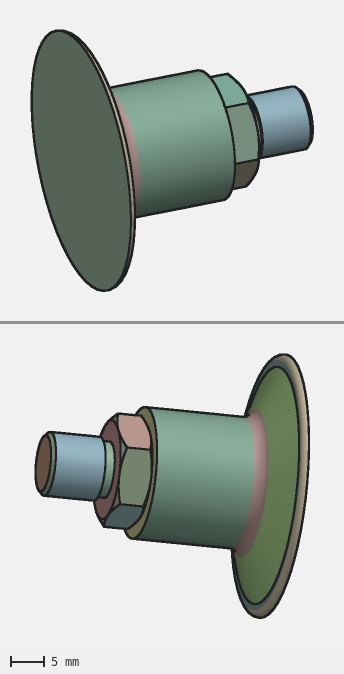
import cadquery as cq
import math


rim_radius = 20.0
rim_thickness = 1.0
cone_foot_radius = 18.0
body_radius = 10.0
cone_slope = 22.5
body_fillet = 2.0
body_top = 21.0

nut_height = 5.0
nut_flats = 15.0
nut_turn = -4.0
nut_chamfer_angle = 30.0

neck_radius = 8.55 / 2
neck_length = 1.6
stud_radius = 9.7 / 2
stud_chamfer = 0.6
total_height = 36.0

nut_top = body_top + nut_height
neck_top = nut_top + neck_length
nut_corner_radius = nut_flats / 2 / math.cos(math.radians(30))
nut_chamfer_height = (nut_corner_radius - nut_flats / 2) * math.tan(math.radians(nut_chamfer_angle))


def revolve_about_y(profile):
    return profile.close().revolve(360, (0, 0, 0), (0, 1, 0))


def make_cup():
    slope = math.radians(cone_slope)
    corner_y = rim_thickness + (cone_foot_radius - body_radius) * math.tan(slope)
    half_turn = (math.pi / 2 - slope) / 2
    tangent_length = body_fillet * math.tan(half_turn)
    fillet_top = corner_y + tangent_length
    fillet_foot = (
        body_radius + tangent_length * math.cos(slope),
        corner_y - tangent_length * math.sin(slope),
    )
    fillet_middle = (
        body_radius + body_fillet * (1 - math.cos(half_turn)),
        fillet_top - body_fillet * math.sin(half_turn),
    )
    profile = (
        cq.Workplane("XY")
        .lineTo(rim_radius, 0)
        .radiusArc((rim_radius - rim_thickness, rim_thickness), -rim_thickness)
        .lineTo(cone_foot_radius, rim_thickness)
        .lineTo(*fillet_foot)
        .threePointArc(fillet_middle, (body_radius, fillet_top))
        .lineTo(body_radius, body_top)
        .lineTo(0, body_top)
    )
    return revolve_about_y(profile)


def make_nut():
    hexagon = (
        cq.Workplane("XZ", origin=(0, body_top, 0))
        .polygon(6, 2 * nut_corner_radius)
        .extrude(-nut_height)
        .rotate((0, 0, 0), (0, 1, 0), -nut_turn)
    )
    envelope = (
        cq.Workplane("XY")
        .moveTo(0, body_top)
        .lineTo(nut_flats / 2, body_top)
        .lineTo(nut_corner_radius, body_top + nut_chamfer_height)
        .lineTo(nut_corner_radius, nut_top - nut_chamfer_height)
        .lineTo(nut_flats / 2, nut_top)
        .lineTo(0, nut_top)
    )
    return hexagon.intersect(revolve_about_y(envelope))


def make_stud():
    profile = (
        cq.Workplane("XY")
        .moveTo(0, nut_top)
        .lineTo(neck_radius, nut_top)
        .lineTo(neck_radius, neck_top)
        .lineTo(stud_radius, neck_top)
        .lineTo(stud_radius, total_height - stud_chamfer)
        .lineTo(stud_radius - stud_chamfer, total_height)
        .lineTo(0, total_height)
    )
    return revolve_about_y(profile)


result = make_cup().union(make_nut()).union(make_stud())